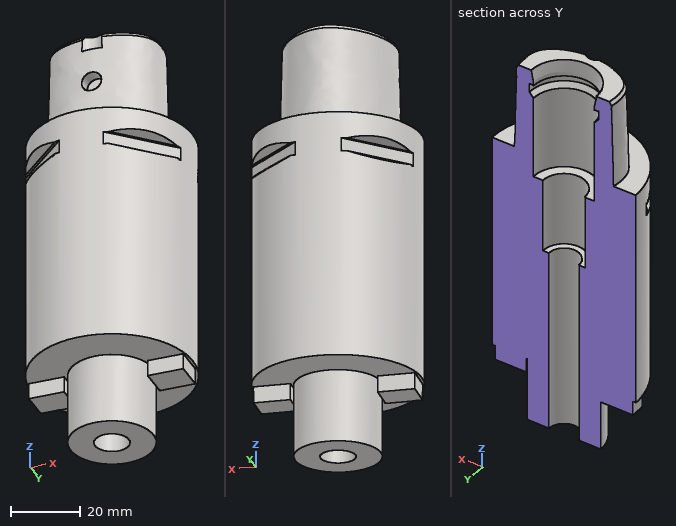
import cadquery as cq
import math

total_length = 127.0
pilot_length = 22.0
body_length = 75.0
body_top = pilot_length + body_length
chamfer_height = 1.3
chamfer_bottom = total_length - chamfer_height

body_diameter = 50.0
body_radius = body_diameter / 2
pilot_diameter = 25.7
pilot_radius = pilot_diameter / 2

shank_base_radius = 17.7
shank_taper = 1 / 40
lobe_height = 1.1
chamfer_width = 0.8
profile_points = 48

mouth_radius = 11.3
bore_radius = 10.5
lip_top_depth = 3.8
lip_bottom_depth = 5.3
groove_radius = 12.0
groove_floor_depth = 8.1
groove_end_depth = 9.8
bore_depth = 38.1
step_radius = 7.2
step_depth = 63.5
through_radius = 5.2

notch_radius = 3.7
notch_depth = 5.0
notch_inner_y = -14.0
side_hole_diameter = 6.1
side_hole_z = total_length - 15.7
side_hole_floor_y = -11.7

gripper_count = 4
gripper_flat_distance = 21.8
gripper_flat_height = 4.0
gripper_flank_distance = 22.6
gripper_mouth_height = 7.0
gripper_z = body_top - 10.0

key_span = 48.0
key_width = 9.5
key_height = 5.0
key_clearance = 0.1


def shank_radius(z):
    return shank_base_radius - shank_taper * (z - body_top)


def lobed_wire(mean_radius, z):
    """Closed curve of support distance R - e*sin(3a), with one lobe toward +Y."""
    points = []
    for i in range(profile_points):
        a = 2 * math.pi * i / profile_points
        support = mean_radius - lobe_height * math.sin(3 * a)
        slope = -3 * lobe_height * math.cos(3 * a)
        x = support * math.cos(a) - slope * math.sin(a)
        y = support * math.sin(a) + slope * math.cos(a)
        points.append(cq.Vector(x, y, z))
    return cq.Wire.assembleEdges([cq.Edge.makeSpline(points, periodic=True)])


def lobed_frustum(bottom_radius, bottom_z, top_radius, top_z):
    wires = [lobed_wire(bottom_radius, bottom_z), lobed_wire(top_radius, top_z)]
    return cq.Workplane(obj=cq.Solid.makeLoft(wires, True))


def make_shank():
    chamfer_radius = shank_radius(chamfer_bottom)
    taper = lobed_frustum(shank_base_radius, body_top, chamfer_radius, chamfer_bottom)
    rim = lobed_frustum(chamfer_radius, chamfer_bottom, chamfer_radius - chamfer_width, total_length)
    return taper.union(rim)


def make_body():
    pilot = cq.Workplane().circle(pilot_radius).extrude(pilot_length)
    body = cq.Workplane().workplane(offset=pilot_length).circle(body_radius).extrude(body_length)
    key_start = pilot_radius + key_clearance
    key_length = key_span / 2 - key_start
    key_centre = key_start + key_length / 2
    keys = (
        cq.Workplane()
        .workplane(offset=pilot_length - key_height)
        .pushPoints([(-key_centre, 0), (key_centre, 0)])
        .rect(key_length, key_width)
        .extrude(key_height)
    )
    return body.union(pilot).union(keys)


def make_bore():
    """Revolved cavity: tapered mouth, lip, undercut groove, then three steps."""
    radius_and_depth = [
        (0, 0),
        (mouth_radius, 0),
        (bore_radius, lip_top_depth),
        (bore_radius, lip_bottom_depth),
        (groove_radius, lip_bottom_depth),
        (groove_radius, groove_floor_depth),
        (bore_radius, groove_end_depth),
        (bore_radius, bore_depth),
        (step_radius, bore_depth),
        (step_radius, step_depth),
        (through_radius, step_depth),
        (through_radius, total_length),
        (0, total_length),
    ]
    outline = [(radius, total_length - depth) for radius, depth in radius_and_depth]
    return cq.Workplane("XZ").polyline(outline).close().revolve(360, (0, 0), (0, 1))


def make_index_notch():
    return (
        cq.Workplane()
        .workplane(offset=total_length - notch_depth)
        .center(0, notch_inner_y - notch_radius)
        .circle(notch_radius)
        .extrude(notch_depth)
    )


def make_side_hole():
    return (
        cq.Workplane("XZ", origin=(0, side_hole_floor_y, side_hole_z))
        .circle(side_hole_diameter / 2)
        .extrude(body_radius + side_hole_floor_y)
    )


def make_gripper_notch(angle):
    """Flat-bottomed groove with sloping flanks, its bottom square to the given direction."""
    half_flat = gripper_flat_height / 2
    half_mouth = gripper_mouth_height / 2
    outline = [
        (gripper_flat_distance, gripper_z - half_flat),
        (gripper_flank_distance, gripper_z - half_flat),
        (body_radius, gripper_z - half_mouth),
        (body_radius, gripper_z + half_mouth),
        (gripper_flank_distance, gripper_z + half_flat),
        (gripper_flat_distance, gripper_z + half_flat),
    ]
    groove = cq.Workplane("XZ").polyline(outline).close().extrude(body_radius, both=True)
    return groove.rotate((0, 0, 0), (0, 0, 1), angle)


result = make_body().union(make_shank())
result = result.cut(make_bore()).cut(make_index_notch()).cut(make_side_hole())
for index in range(gripper_count):
    result = result.cut(make_gripper_notch((index + 0.5) * 360 / gripper_count))